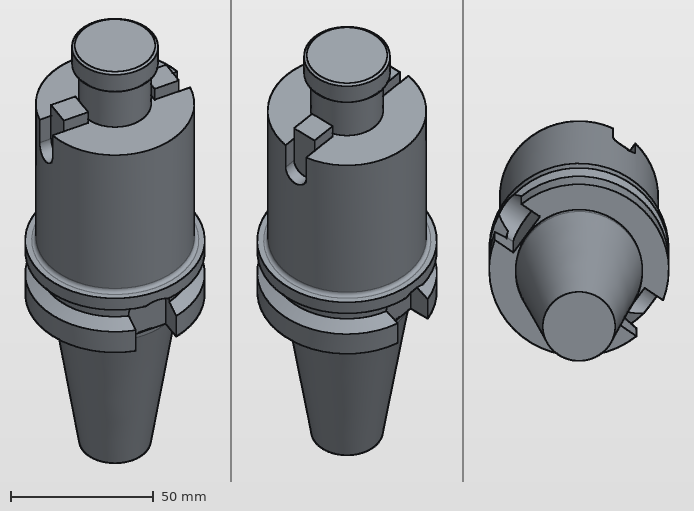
import cadquery as cq
import math

gauge_radius = 44.45 / 2
taper_length = 65.4
taper_per_length = 7 / 24
small_end_radius = gauge_radius - taper_length * taper_per_length / 2

flange_radius = 63 / 2
flange_bottom = 2.0
flange_top = 27.0
groove_center = 16.6
groove_radius = 53 / 2
groove_floor_width = 4.75
groove_flank_angle = 28.0
groove_flank_height = (flange_radius - groove_radius) * math.tan(math.radians(groove_flank_angle))
groove_floor_bottom = groove_center - groove_floor_width / 2
groove_floor_top = groove_center + groove_floor_width / 2

drive_slot_width = 16.1
drive_slot_top = 23.0
drive_slot_floor = 22.5

body_radius = 55.6 / 2
body_top = 90.0
body_fillet = 1.5
pilot_radius = 25.4 / 2
pilot_length = 17.5
pilot_top = body_top + pilot_length

key_width = 9.525
key_inner = 13.2
key_outer = 22.9
key_height = 5.0
key_depth = 15.2
key_bottom = body_top - key_depth
key_top = body_top + key_height

overall_height = 182.25
screw_radius = 30.2 / 2
screw_top = overall_height - taper_length
screw_chamfer_width = 1.0
screw_top_chamfer_height = 0.6
screw_bottom_chamfer_height = 1.0


def round_bottom_bar(width, bottom, top, inner, outer):
    """Upright bar of flat-sided, round-bottomed section in XZ, running along -Y from inner to outer."""
    half = width / 2
    spring = bottom + half
    return (
        cq.Workplane("XZ", origin=(0, -inner, 0))
        .moveTo(-half, top)
        .lineTo(-half, spring)
        .threePointArc((0, bottom), (half, spring))
        .lineTo(half, top)
        .close()
        .extrude(outer - inner)
    )


def turned_holder():
    """Taper shank, flange, body and pilot as one revolved solid."""
    fillet_start = (body_radius + body_fillet, flange_top)
    fillet_end = (body_radius, flange_top + body_fillet)
    fillet_sag = body_fillet * (1 - math.sqrt(0.5))
    fillet_middle = (body_radius + fillet_sag, flange_top + fillet_sag)
    return (
        cq.Workplane("XZ")
        .moveTo(0, -taper_length)
        .lineTo(small_end_radius, -taper_length)
        .lineTo(gauge_radius, 0)
        .lineTo(gauge_radius, flange_bottom)
        .lineTo(flange_radius, flange_bottom)
        .lineTo(flange_radius, groove_floor_bottom - groove_flank_height)
        .lineTo(groove_radius, groove_floor_bottom)
        .lineTo(groove_radius, groove_floor_top)
        .lineTo(flange_radius, groove_floor_top + groove_flank_height)
        .lineTo(flange_radius, flange_top)
        .lineTo(*fillet_start)
        .threePointArc(fillet_middle, fillet_end)
        .lineTo(body_radius, body_top)
        .lineTo(pilot_radius, body_top)
        .lineTo(pilot_radius, pilot_top)
        .lineTo(0, pilot_top)
        .close()
        .revolve(360, (0, 0), (0, 1))
    )


def drive_slot(angle):
    """Round-topped cutter for one flange drive slot, turned about Z to its side."""
    half = drive_slot_width / 2
    spring = drive_slot_top - half
    return (
        cq.Workplane("YZ", origin=(drive_slot_floor, 0, 0))
        .moveTo(-half, flange_bottom)
        .lineTo(-half, spring)
        .threePointArc((0, drive_slot_top), (half, spring))
        .lineTo(half, flange_bottom)
        .close()
        .extrude(flange_radius - drive_slot_floor)
        .rotate((0, 0, 0), (0, 0, 1), angle)
    )


def key_seat(angle):
    """Round-bottomed cutter for one key seat, open through the side of the body."""
    seat = round_bottom_bar(key_width, key_bottom, body_top, key_inner, body_radius)
    return seat.rotate((0, 0, 0), (0, 0, 1), angle)


def drive_key(angle):
    """Key filling the inner part of its seat and standing above the body face."""
    key = round_bottom_bar(key_width, key_bottom, key_top, key_inner, key_outer)
    return key.rotate((0, 0, 0), (0, 0, 1), angle)


def clamping_screw():
    """Chamfered screw head resting on the end of the pilot."""
    edge_radius = screw_radius - screw_chamfer_width
    profile = [
        (0, pilot_top),
        (edge_radius, pilot_top),
        (screw_radius, pilot_top + screw_bottom_chamfer_height),
        (screw_radius, screw_top - screw_top_chamfer_height),
        (edge_radius, screw_top),
        (0, screw_top),
    ]
    return cq.Workplane("XZ").polyline(profile).close().revolve(360, (0, 0), (0, 1))


opposite_sides = (0, 180)

holder = turned_holder()
for side in opposite_sides:
    holder = holder.cut(drive_slot(side)).cut(key_seat(side))

keys = [drive_key(side) for side in opposite_sides]
screw = clamping_screw()

result = cq.Compound.makeCompound([holder.val(), *[key.val() for key in keys], screw.val()])